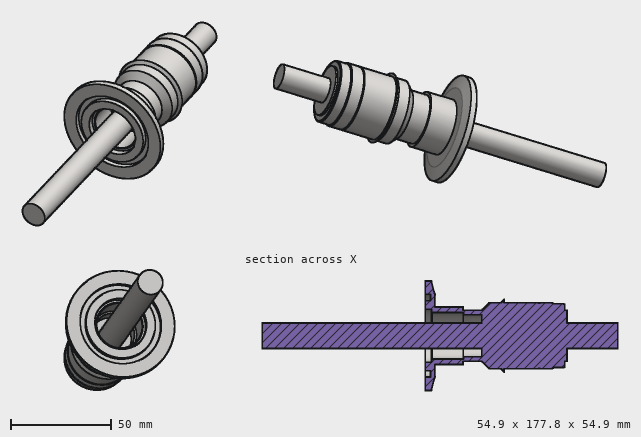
import cadquery as cq

rod_radius = 6.4
rod_length = 177.8
rod_front = -81.5

flange_radius = 27.47
flange_rim_back = 3.2
flange_back = 5.0
flange_cone_radius = 20.6

collar_radius = 14.4
collar_back = 19.0
neck_radius = 12.8
neck_back = 28.3

body_radius = 16.5
body_front = neck_back + body_radius - neck_radius
lip_radius = 18.1
lip_back = 39.5
lip_front = lip_back - (lip_radius - body_radius)
joint_groove_front = 56.7
joint_groove_width = 0.5
joint_groove_depth = 0.2
body_back = 64.2

cap_radius = 16.0
cap_back = 69.9
cap_bevel = 0.5
ring_radius = 12.8
ring_back = 71.0

face_groove_outer = 20.6
face_groove_inner = 17.6
face_groove_depth = 2.7

mouth_radius = 13.2
mouth_depth = 3.2
lead_in_radius = 12.0
bore_radius = 11.5
bore_depth = 19.2
socket_radius = 10.5
socket_depth = 28.3


def turned(points):
    """Revolve a closed (radius, Y) outline about the Y axis."""
    return cq.Workplane("XY").polyline(points).close().revolve(360, (0, 0, 0), (0, 1, 0))


def make_housing():
    groove_back = joint_groove_front + joint_groove_width
    groove_radius = body_radius - joint_groove_depth
    return turned([
        (0, 0),
        (flange_radius, 0),
        (flange_radius, flange_rim_back),
        (flange_cone_radius, flange_back),
        (collar_radius, flange_back),
        (collar_radius, collar_back),
        (neck_radius, collar_back),
        (neck_radius, neck_back),
        (body_radius, body_front),
        (body_radius, lip_front),
        (lip_radius, lip_back),
        (body_radius, lip_back),
        (body_radius, joint_groove_front),
        (groove_radius, joint_groove_front),
        (groove_radius, groove_back),
        (body_radius, groove_back),
        (body_radius, body_back - (body_radius - cap_radius)),
        (cap_radius, body_back),
        (cap_radius, cap_back - cap_bevel),
        (cap_radius - cap_bevel, cap_back),
        (ring_radius, cap_back),
        (ring_radius, ring_back),
        (0, ring_back),
    ])


def make_face_groove():
    return turned([
        (face_groove_inner, 0),
        (face_groove_outer, 0),
        (face_groove_outer, face_groove_depth),
        (face_groove_inner, face_groove_depth),
    ])


def make_socket():
    lead_in_depth = mouth_depth + lead_in_radius - bore_radius
    return turned([
        (0, 0),
        (mouth_radius, 0),
        (mouth_radius, mouth_depth),
        (lead_in_radius, mouth_depth),
        (bore_radius, lead_in_depth),
        (bore_radius, bore_depth),
        (socket_radius, bore_depth),
        (socket_radius, socket_depth),
        (0, socket_depth),
    ])


def make_rod():
    return turned([
        (0, rod_front),
        (rod_radius, rod_front),
        (rod_radius, rod_front + rod_length),
        (0, rod_front + rod_length),
    ])


result = make_housing().cut(make_face_groove()).cut(make_socket()).union(make_rod())